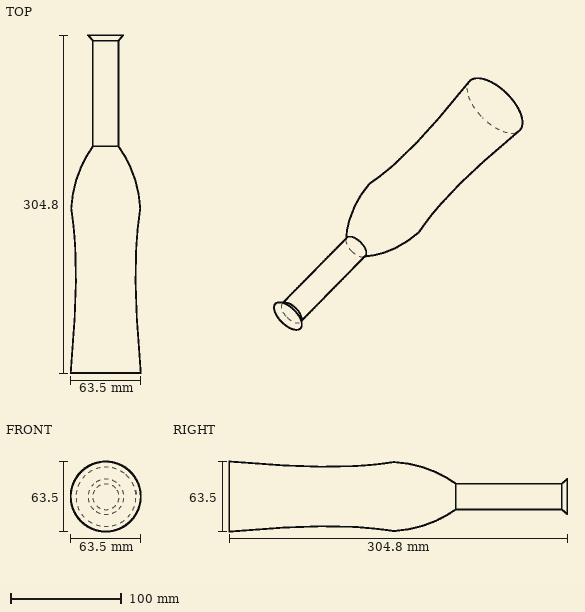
import cadquery as cq

total_length = 304.8
lower_waist_y = 66.0
upper_waist_y = 108.5
shoulder_y = 148.5
dome_top_y = 204.3
dome_mid_y = (shoulder_y + dome_top_y) / 2
flare_length = 5.0
flare_start_y = total_length - flare_length

base_radius = 63.5 / 2
waist_radius = 27.4
shoulder_radius = 31.25
dome_mid_radius = 26.0
neck_radius = 11.75
lip_radius = 16.0


def half_profile():
    """Closed outline from the Y axis outwards; the X coordinate is the radius."""
    waist_points = [
        (waist_radius, lower_waist_y),
        (waist_radius, upper_waist_y),
        (shoulder_radius, shoulder_y),
    ]
    dome_points = [
        (dome_mid_radius, dome_mid_y),
        (neck_radius, dome_top_y),
    ]
    return (
        cq.Workplane("XY")
        .lineTo(base_radius, 0)
        .spline(waist_points, includeCurrent=True)
        .spline(dome_points, includeCurrent=True)
        .lineTo(neck_radius, flare_start_y)
        .lineTo(lip_radius, total_length)
        .lineTo(0, total_length)
        .close()
    )


result = half_profile().revolve(360, (0, 0), (0, 1))